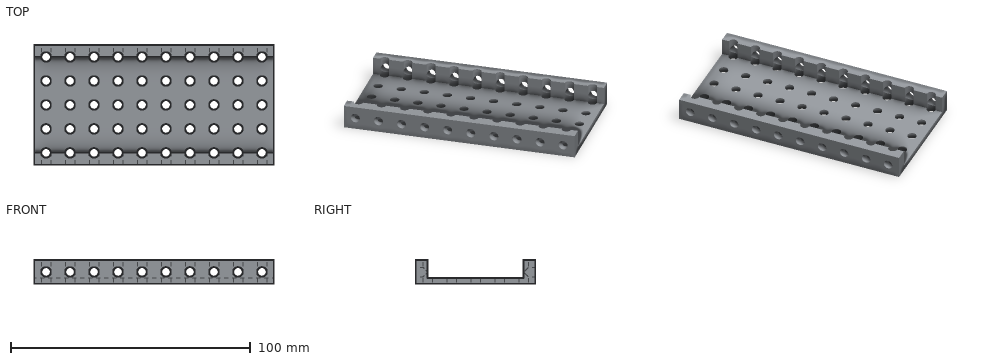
import cadquery as cq

pitch = 10.0
columns = 10
rows = 5
hole_diameter = 3.9
wall_thickness = pitch / 2
floor_thickness = 2.5

length = columns * pitch
width = rows * pitch
height = pitch


def channel_body():
    """U-shaped channel running along X, open at the top and at both ends."""
    block = cq.Workplane("XY").box(length, width, height, centered=(True, True, False))
    trough = (
        cq.Workplane("XY")
        .workplane(offset=floor_thickness)
        .rect(length, width - 2 * wall_thickness)
        .extrude(height - floor_thickness)
    )
    return block.cut(trough)


def floor_holes():
    """Vertical grid of holes; the outer rows also scallop the inner wall faces."""
    return (
        cq.Workplane("XY")
        .rarray(pitch, pitch, columns, rows)
        .circle(hole_diameter / 2)
        .extrude(height)
    )


def wall_holes():
    """One row of holes along Y through both walls, at mid height."""
    return (
        cq.Workplane("XZ", origin=(0, 0, height / 2))
        .rarray(pitch, pitch, columns, 1)
        .circle(hole_diameter / 2)
        .extrude(width / 2, both=True)
    )


result = channel_body().cut(floor_holes()).cut(wall_holes())